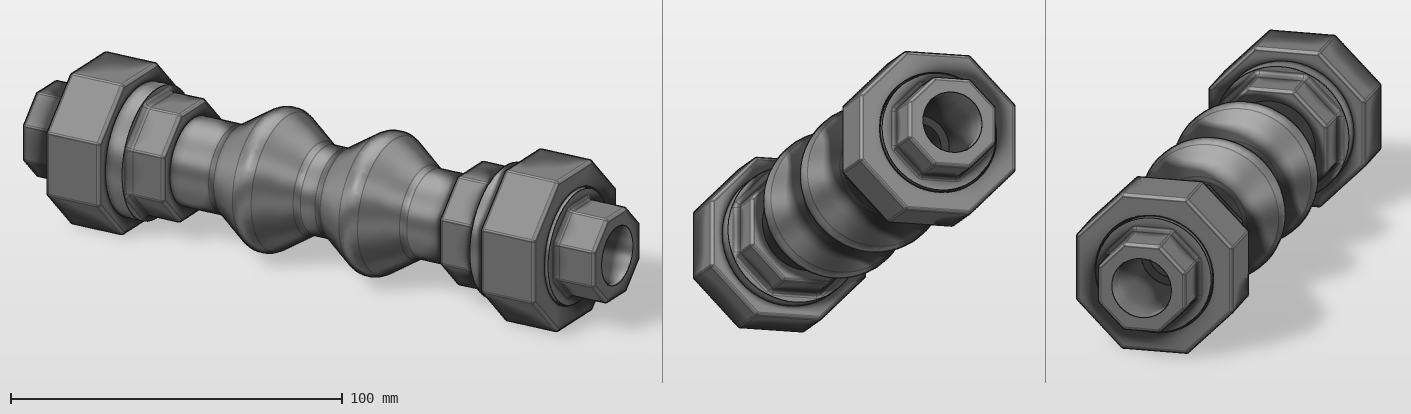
import cadquery as cq
import math

total_length = 200.0
half_length = total_length / 2

hose_diameter = 28.0
hose_bore = 13.5
bulge_diameter = 45.0
bulge_spacing = 37.2
bulge_slope = 33.0
crest_radius = 6.0
valley_radius = 4.0

inner_flats = 35.2
inner_start = 48.2
collar_diameter = 42.0
collar_start = 60.8
nut_flats = 49.0
nut_start = 66.5
nut_end = 85.5
disc_diameter = 36.0
disc_end = 86.5
end_flats = 27.5
end_bore = 18.5
end_bore_depth = half_length - nut_start

recess_diameter = 37.0
recess_depth = 1.0

edge_radius = 1.0
inner_root_radius = 1.8
end_root_radius = 1.5

tolerance = 0.02
octagon_half_angle = 180 / 8


def cylinder(diameter, start, end):
    return cq.Workplane("YZ", origin=(start, 0, 0)).circle(diameter / 2).extrude(end - start)


def octagon(flats, start, end):
    """Octagonal prism along X with flats facing +-Y and +-Z and rounded long edges."""
    corner_diameter = flats / math.cos(math.radians(octagon_half_angle))
    return (
        cq.Workplane("YZ", origin=(start, 0, 0))
        .transformed(rotate=(0, 0, octagon_half_angle))
        .polygon(8, corner_diameter)
        .extrude(end - start)
        .edges("|X")
        .fillet(edge_radius)
    )


def fillet_root(solid, flats, root, radius):
    """Fillet the corner at X = root where an octagon meets a larger round face."""
    reach = flats / 2 + tolerance
    zone = cq.selectors.BoxSelector(
        (root - tolerance, -reach, -reach), (root + tolerance, reach, reach), boundingbox=True
    )
    return solid.edges(zone).fillet(radius)


def round_ridge(solid, x, radius):
    """Round the circular edge that lies at the given X."""
    reach = bulge_diameter
    zone = cq.selectors.BoxSelector((x - tolerance, -reach, -reach), (x + tolerance, reach, reach))
    return solid.edges("%CIRCLE").edges(zone).fillet(radius)


def make_hose():
    """Solid hose: each bulge is a double cone with a rounded crest and rounded valleys."""
    slope = math.radians(bulge_slope)
    hose_radius = hose_diameter / 2
    apex = bulge_diameter / 2 + crest_radius * (1 / math.cos(slope) - 1)
    half_width = (apex - hose_radius) / math.tan(slope)
    centers = (-bulge_spacing / 2, bulge_spacing / 2)

    outline = cq.Workplane("XY").moveTo(-inner_start, 0).lineTo(-inner_start, hose_radius)
    for center in centers:
        outline = outline.lineTo(center - half_width, hose_radius)
        outline = outline.lineTo(center, apex)
        outline = outline.lineTo(center + half_width, hose_radius)
    outline = outline.lineTo(inner_start, hose_radius).lineTo(inner_start, 0).close()
    hose = outline.revolve(360, (0, 0, 0), (1, 0, 0))

    for center in centers:
        hose = round_ridge(hose, center, crest_radius)
        hose = round_ridge(hose, center - half_width, valley_radius)
        hose = round_ridge(hose, center + half_width, valley_radius)
    return hose


def make_fitting():
    """Solid fitting at the +X end."""
    inner = octagon(inner_flats, inner_start, collar_start).faces("<X").edges().fillet(edge_radius)
    inner = inner.union(cylinder(collar_diameter, collar_start, nut_start))
    inner = fillet_root(inner, inner_flats, collar_start, inner_root_radius)

    nut = octagon(nut_flats, nut_start, nut_end).faces("<X or >X").edges().fillet(edge_radius)
    recess_floor = nut_end - recess_depth
    nut = nut.cut(cylinder(recess_diameter, recess_floor, nut_end))

    end = octagon(end_flats, disc_end, half_length).faces(">X").edges().fillet(edge_radius)
    end = end.union(cylinder(disc_diameter, recess_floor, disc_end))
    end = fillet_root(end, end_flats, disc_end, end_root_radius)
    return inner.union(nut).union(end)


fitting = make_fitting()
result = make_hose().union(fitting).union(fitting.mirror("YZ"))

result = result.cut(cylinder(hose_bore, -half_length, half_length))
result = result.cut(cylinder(end_bore, half_length - end_bore_depth, half_length))
result = result.cut(cylinder(end_bore, -half_length, end_bore_depth - half_length))